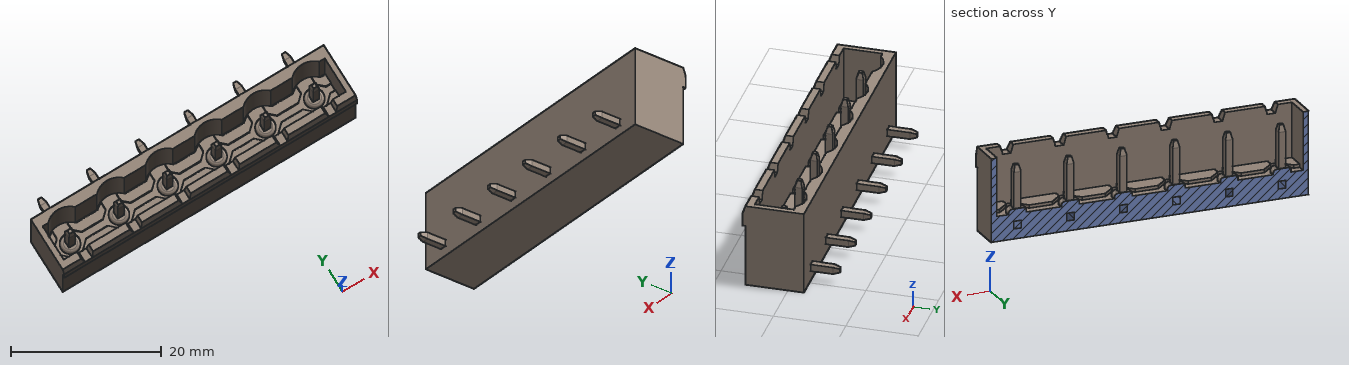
import cadquery as cq
import math


PIN_COUNT = 6
HOUSING_LENGTH = 45.7
PITCH = HOUSING_LENGTH / PIN_COUNT
PIN_Y = 4.7
PIN_POSITIONS = [(i - (PIN_COUNT - 1) / 2) * PITCH for i in range(PIN_COUNT)]

HOUSING_HEIGHT = 12.0
HOUSING_BACK = 8.5
LIP_OVERHANG = 0.4
LIP_HEIGHT = 3.0
LIP_CHAMFER_HEIGHT = 1.2

CAVITY_LENGTH = 44.05
CAVITY_FRONT = 1.5
CAVITY_BACK = 6.85
SCALLOP_RADIUS = 3.0
FLOOR_HEIGHT = 3.65

PAD_HEIGHT = 0.45
PAD_REAR_GAP = 0.15
CHANNEL_WIDTH = 1.1
REAR_CHANNEL_WIDTH = 2.35
FLARE_REACH = 2.15
FRONT_NECK_REACH = 2.05
REAR_NECK_REACH = 1.45

BOSS_DIAMETER = 2.8
BOSS_HEIGHT = 0.7
BOSS_ROUND = 0.45

NOTCH_TOP_WIDTH = 1.87
NOTCH_FLOOR_WIDTH = 1.15

PIN_WIDTH = 1.0
PIN_TIP_WIDTH = 0.55
PIN_TAPER = 0.9
PIN_TOP = 10.45
PIN_REAR = 12.5
TAIL_HEIGHT = 2.0


def make_block():
    """Plain block with the chamfered lip, extruded along the row."""
    lip_bottom = HOUSING_HEIGHT - LIP_HEIGHT
    chamfer_bottom = HOUSING_HEIGHT - LIP_CHAMFER_HEIGHT
    profile = [
        (LIP_OVERHANG, 0),
        (HOUSING_BACK, 0),
        (HOUSING_BACK, HOUSING_HEIGHT),
        (LIP_OVERHANG, HOUSING_HEIGHT),
        (0, chamfer_bottom),
        (0, lip_bottom),
        (LIP_OVERHANG, lip_bottom),
    ]
    return cq.Workplane("YZ").polyline(profile).close().extrude(HOUSING_LENGTH / 2, both=True)


def make_cavity():
    """Rectangular pocket with a scallop in its rear wall behind each pin."""
    depth = HOUSING_HEIGHT - FLOOR_HEIGHT
    floor = cq.Workplane("XY").workplane(offset=FLOOR_HEIGHT)
    pocket = (
        floor.center(0, (CAVITY_FRONT + CAVITY_BACK) / 2)
        .rect(CAVITY_LENGTH, CAVITY_BACK - CAVITY_FRONT)
        .extrude(depth)
    )
    half_chord = math.sqrt(SCALLOP_RADIUS**2 - (CAVITY_BACK - PIN_Y) ** 2)
    for x in PIN_POSITIONS:
        scallop = (
            floor.moveTo(x - half_chord, CAVITY_BACK)
            .threePointArc((x, PIN_Y + SCALLOP_RADIUS), (x + half_chord, CAVITY_BACK))
            .close()
            .extrude(depth)
        )
        pocket = pocket.union(scallop)
    return pocket


def make_channels():
    """Channel along the row, with a flared crossing at each pin."""
    half = CHANNEL_WIDTH / 2
    rear_half = REAR_CHANNEL_WIDTH / 2
    rear_end = HOUSING_BACK - PIN_Y
    front_end = -PIN_Y
    right_side = [
        (half, front_end),
        (half, -FRONT_NECK_REACH),
        (FLARE_REACH, -half),
        (FLARE_REACH, half),
        (rear_half, REAR_NECK_REACH),
        (rear_half, rear_end),
    ]
    left_side = [(-x, y) for x, y in reversed(right_side)]
    floor = cq.Workplane("XY").workplane(offset=FLOOR_HEIGHT).center(0, PIN_Y)
    channels = floor.rect(HOUSING_LENGTH, CHANNEL_WIDTH).extrude(PAD_HEIGHT)
    crossing = floor.polyline(right_side + left_side).close().extrude(PAD_HEIGHT)
    for x in PIN_POSITIONS:
        channels = channels.union(crossing.translate((x, 0, 0)))
    return channels


def make_pads(cavity):
    """Raised areas of the floor left between the channels, with a narrow gap along the rear wall."""
    floor_layer = cq.Workplane("XY").box(
        HOUSING_LENGTH, HOUSING_BACK, PAD_HEIGHT, centered=(True, False, False)
    )
    pad_outline = cavity.intersect(cavity.translate((0, -PAD_REAR_GAP, 0)))
    return pad_outline.intersect(floor_layer.translate((0, 0, FLOOR_HEIGHT))).cut(make_channels())


def make_boss(x):
    """Round boss with a rounded upper edge."""
    return (
        cq.Workplane("XY", origin=(x, PIN_Y, FLOOR_HEIGHT))
        .circle(BOSS_DIAMETER / 2)
        .extrude(BOSS_HEIGHT)
        .faces(">Z")
        .edges()
        .fillet(BOSS_ROUND)
    )


def make_notch(x):
    """Tapered cutter for the front wall, as deep as the lip chamfer."""
    floor_z = HOUSING_HEIGHT - LIP_CHAMFER_HEIGHT
    profile = [
        (-NOTCH_FLOOR_WIDTH / 2, floor_z),
        (NOTCH_FLOOR_WIDTH / 2, floor_z),
        (NOTCH_TOP_WIDTH / 2, HOUSING_HEIGHT),
        (-NOTCH_TOP_WIDTH / 2, HOUSING_HEIGHT),
    ]
    return cq.Workplane("XZ", origin=(x, 0, 0)).polyline(profile).close().extrude(-CAVITY_FRONT)


def make_bar_tip(base):
    """Square taper from the pin width to the tip width, standing on the base plane."""
    return (
        base.rect(PIN_WIDTH, PIN_WIDTH)
        .workplane(offset=PIN_TAPER)
        .rect(PIN_TIP_WIDTH, PIN_TIP_WIDTH)
        .loft(ruled=True)
    )


def make_pin(x):
    """Square bar bent at a right angle: a contact pointing up and a tail pointing back."""
    half = PIN_WIDTH / 2
    contact_shoulder = PIN_TOP - PIN_TAPER
    tail_shoulder = PIN_REAR - PIN_TAPER
    profile = [
        (PIN_Y - half, TAIL_HEIGHT - half),
        (tail_shoulder, TAIL_HEIGHT - half),
        (tail_shoulder, TAIL_HEIGHT + half),
        (PIN_Y + half, TAIL_HEIGHT + half),
        (PIN_Y + half, contact_shoulder),
        (PIN_Y - half, contact_shoulder),
    ]
    bar = cq.Workplane("YZ", origin=(x, 0, 0)).polyline(profile).close().extrude(half, both=True)
    contact_base = cq.Workplane("XY", origin=(x, PIN_Y, contact_shoulder))
    tail_base = cq.Workplane(cq.Plane((x, tail_shoulder, TAIL_HEIGHT), (1, 0, 0), (0, 1, 0)))
    return bar.union(make_bar_tip(contact_base)).union(make_bar_tip(tail_base))


def make_housing(pins):
    """Housing with the cavity, floor pads, bosses, notches and a fitting hole for every pin."""
    cavity = make_cavity()
    housing = make_block().cut(cavity).union(make_pads(cavity))
    for x in PIN_POSITIONS:
        housing = housing.union(make_boss(x)).cut(make_notch(x))
    for pin in pins:
        housing = housing.cut(pin)
    return housing


pins = [make_pin(x) for x in PIN_POSITIONS]
housing = make_housing(pins)

result = cq.Compound.makeCompound([housing.val(), *[pin.val() for pin in pins]])